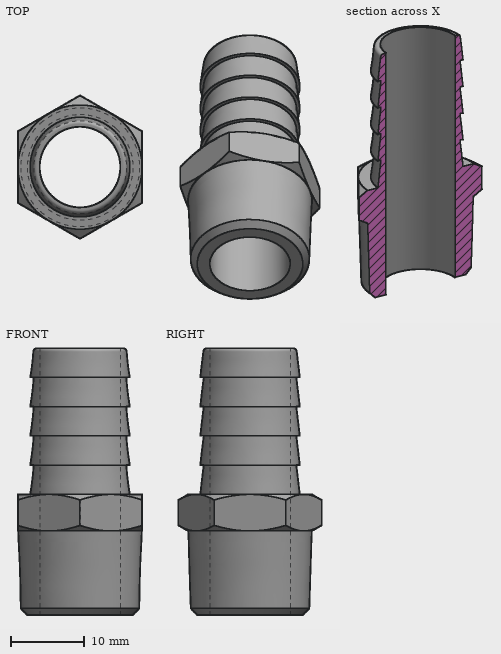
import cadquery as cq
import math

thread_length = 10.0
collar_top = 11.5
hex_height = 5.0
barb_count = 5
barb_pitch = 4.0
hex_top = collar_top + hex_height
total_height = hex_top + barb_count * barb_pitch

bore_dia = 11.0
collar_dia = 16.95
thread_dia = 16.825
thread_taper = 1 / 16
barb_root_dia = 12.7
barb_crest_dia = 13.65

hex_sides = 6
hex_across_flats = 17.0
hex_across_corners = hex_across_flats / math.cos(math.pi / hex_sides)
hex_turn = 180 / hex_sides

thread_chamfer = 0.9
tip_fillet = 0.5
hex_chamfer_angle = 30.0


def revolve_about_z(profile):
    """Turn an open profile that starts and ends on the Z axis into a solid."""
    return profile.close().revolve(360, (0, 0, 0), (0, 1, 0))


def make_hex():
    """Hexagonal wrench section with both ends turned down to a cone."""
    blank = (
        cq.Workplane("XY")
        .workplane(offset=collar_top)
        .polygon(hex_sides, hex_across_corners)
        .extrude(hex_height)
        .rotate((0, 0, 0), (0, 0, 1), hex_turn)
    )
    flat_radius = hex_across_flats / 2
    corner_radius = hex_across_corners / 2
    drop = (corner_radius - flat_radius) * math.tan(math.radians(hex_chamfer_angle))
    envelope = (
        cq.Workplane("YZ")
        .moveTo(0, collar_top)
        .lineTo(flat_radius, collar_top)
        .lineTo(corner_radius, collar_top + drop)
        .lineTo(corner_radius, hex_top - drop)
        .lineTo(flat_radius, hex_top)
        .lineTo(0, hex_top)
    )
    return blank.intersect(revolve_about_z(envelope))


def make_threaded_end():
    """Tapered thread envelope with a chamfered start and a flared collar under the hex."""
    top_radius = thread_dia / 2
    start_radius = top_radius - thread_taper / 2 * (thread_length - thread_chamfer)
    profile = (
        cq.Workplane("YZ")
        .lineTo(start_radius - thread_chamfer, 0)
        .lineTo(start_radius, thread_chamfer)
        .lineTo(top_radius, thread_length)
        .lineTo(collar_dia / 2, collar_top)
        .lineTo(0, collar_top)
    )
    return revolve_about_z(profile)


def make_hose_tail():
    """Stack of conical barbs, each widest at its lower end, with a rounded tip."""
    profile = cq.Workplane("YZ").moveTo(0, hex_top)
    for index in range(barb_count):
        base = hex_top + index * barb_pitch
        profile = profile.lineTo(barb_crest_dia / 2, base)
        profile = profile.lineTo(barb_root_dia / 2, base + barb_pitch)
    tail = revolve_about_z(profile.lineTo(0, total_height))
    return tail.faces(">Z").edges().fillet(tip_fillet)


def make_bore():
    """Straight passage through the whole fitting."""
    return cq.Workplane("XY").circle(bore_dia / 2).extrude(total_height)


body = make_threaded_end().union(make_hex()).union(make_hose_tail())
result = body.cut(make_bore())